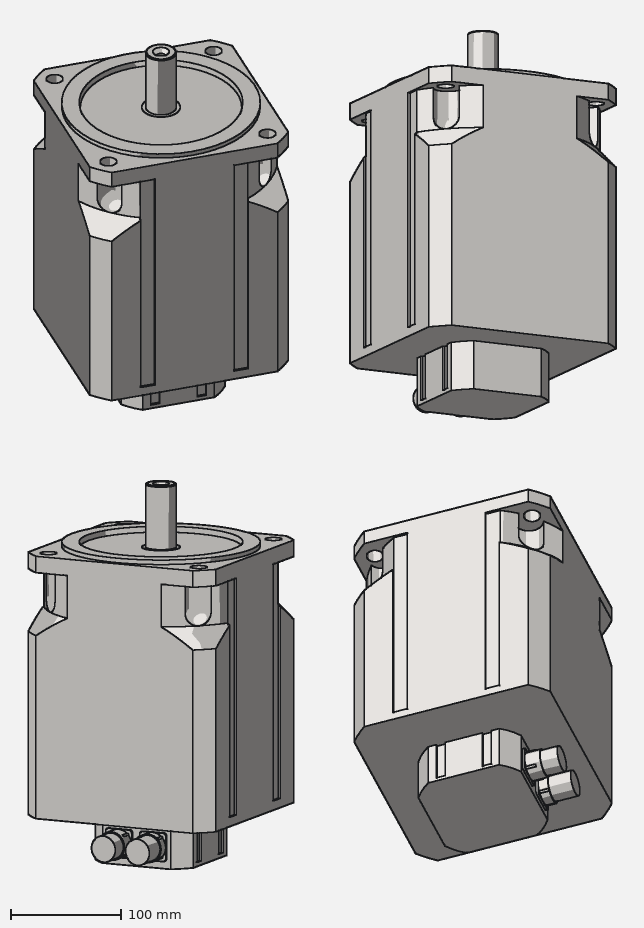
import cadquery as cq
import math

total_height = 345.0
box_height = 45.0
corner_start = 214.0
pocket_floor = 232.5
flange_underside = 272.0
flange_top = 287.0
pilot_top = 291.2

housing_width = 190.0
housing_corner_radius = 124.0
pilot_diameter = 180.0

recess_diameter = 148.5
recess_floor_diameter = 146.3
recess_depth = 5.2

mounting_hole_diameter = 15.2
mounting_hole_spacing = 152.0
pocket_wall_radius = 106.3
nose_opening = 24.0
nose_diameter = 27.0

shaft_diameter = 28.0
shaft_chamfer = 1.0
shoulder_diameter = 35.0
shoulder_height = 0.5
center_mouth_diameter = 15.0
center_drill_diameter = 7.5
center_cone_depth = 4.0
center_drill_depth = 10.5
drill_point_angle = 118.0

box_width = 99.5
box_corner_radius = 60.5

groove_depth = 2.0
housing_groove_width = 13.8
housing_groove_spacing = 89.5
housing_groove_bottom = 53.5
box_groove_width = 8.5
box_groove_spacing = 44.5
box_groove_bottom = 3.8

connector_spacing = 34.5
connector_height = 20.0
connector_length = 33.0
barrel_diameter = 24.0
collar_diameter = 26.2
plate_thickness = 2.0
plate_corner_radius = 2.6
short_collar_end = 11.5
long_collar_end = 16.5
screw_diameter = 2.7
screw_spacing = 17.5


def cylinder(diameter, bottom, top):
    return cq.Workplane("XY").workplane(offset=bottom).circle(diameter / 2).extrude(top - bottom)


def turned_square(width, corner_radius, bottom, top):
    """A square bar with its four corners rounded about the Z axis."""
    square = cq.Workplane("XY").workplane(offset=bottom).rect(width, width).extrude(top - bottom)
    return square.intersect(cylinder(2 * corner_radius, bottom, top))


def corner_pocket_cutter():
    """A ring that leaves a round core below the flange, with a conical floor."""
    cutter_radius = housing_width
    floor_slope = (corner_start - pocket_floor) / (housing_corner_radius - pocket_wall_radius)
    cutter_floor = pocket_floor + floor_slope * (cutter_radius - pocket_wall_radius)
    return (
        cq.Workplane("XZ")
        .moveTo(pocket_wall_radius, flange_underside)
        .lineTo(cutter_radius, flange_underside)
        .lineTo(cutter_radius, cutter_floor)
        .lineTo(pocket_wall_radius, pocket_floor)
        .close()
        .revolve(360, (0, 0, 0), (0, 1, 0))
    )


def corner_points(spacing, bottom):
    base = cq.Workplane("XY").workplane(offset=bottom)
    return base.rect(spacing, spacing, forConstruction=True).vertices()


def ball_nose_cutter():
    """Round-ended clearances set into the pocket walls, each breaking out through a narrower opening."""
    radius = nose_diameter / 2
    inset = math.sqrt(radius**2 - (nose_opening / 2) ** 2)
    spacing = math.sqrt(2) * (pocket_wall_radius - inset)
    ball_center = pocket_floor + nose_opening / 2
    points = corner_points(spacing, ball_center)
    shanks = points.circle(radius).extrude(flange_underside - ball_center)
    return shanks.union(points.sphere(radius))


def mounting_hole_cutter():
    points = corner_points(mounting_hole_spacing, flange_underside)
    return points.circle(mounting_hole_diameter / 2).extrude(flange_top - flange_underside)


def recess_cutter():
    return (
        cq.Workplane("XY")
        .workplane(offset=pilot_top - recess_depth)
        .circle(recess_floor_diameter / 2)
        .workplane(offset=recess_depth)
        .circle(recess_diameter / 2)
        .loft()
    )


def groove_cutter(body_width, spacing, width, bottom, top):
    """Two vertical grooves in each of the -X and +X faces."""
    return (
        cq.Workplane("XY")
        .workplane(offset=bottom)
        .rect(body_width, spacing, forConstruction=True)
        .vertices()
        .rect(2 * groove_depth, width)
        .extrude(top - bottom)
    )


def make_housing():
    block = turned_square(housing_width, housing_corner_radius, box_height, flange_top)
    return (
        block.union(cylinder(pilot_diameter, flange_top, pilot_top))
        .cut(corner_pocket_cutter())
        .cut(ball_nose_cutter())
        .cut(mounting_hole_cutter())
        .cut(recess_cutter())
        .cut(
            groove_cutter(
                housing_width,
                housing_groove_spacing,
                housing_groove_width,
                housing_groove_bottom,
                flange_underside,
            )
        )
    )


def center_hole_cutter():
    """Center hole in the shaft end: countersink, drilled bore and drill point."""
    drill_radius = center_drill_diameter / 2
    point_depth = drill_radius / math.tan(math.radians(drill_point_angle / 2))
    drill_bottom = total_height - center_drill_depth
    return (
        cq.Workplane("XZ")
        .moveTo(0, total_height)
        .lineTo(center_mouth_diameter / 2, total_height)
        .lineTo(drill_radius, total_height - center_cone_depth)
        .lineTo(drill_radius, drill_bottom)
        .lineTo(0, drill_bottom - point_depth)
        .close()
        .revolve(360, (0, 0, 0), (0, 1, 0))
    )


def make_shaft():
    """The shaft end with the low shoulder it stands on."""
    recess_floor = pilot_top - recess_depth
    shaft = cylinder(shaft_diameter, recess_floor, total_height).faces(">Z").chamfer(shaft_chamfer)
    shoulder = cylinder(shoulder_diameter, recess_floor, recess_floor + shoulder_height)
    return shaft.union(shoulder).cut(center_hole_cutter())


def make_rear_box():
    box = turned_square(box_width, box_corner_radius, 0, box_height)
    return box.cut(
        groove_cutter(box_width, box_groove_spacing, box_groove_width, box_groove_bottom, box_height)
    )


def make_motor():
    return make_housing().union(make_shaft()).union(make_rear_box())


def make_connector(x, collar_end):
    """A round plug on a square plate, pointing to +Y, with four screws along its collar."""
    base = cq.Workplane("XZ", origin=(x, box_width / 2, connector_height))
    plate = (
        base.rect(collar_diameter, collar_diameter)
        .extrude(-plate_thickness)
        .edges("|Y")
        .fillet(plate_corner_radius)
    )
    collar = base.circle(collar_diameter / 2).extrude(-collar_end)
    barrel = base.circle(barrel_diameter / 2).extrude(-connector_length)
    screws = (
        base.rect(screw_spacing, screw_spacing, forConstruction=True)
        .vertices()
        .circle(screw_diameter / 2)
        .extrude(-short_collar_end)
    )
    return plate.union(collar).union(barrel).union(screws)


motor = make_motor()
connectors = [
    make_connector(-connector_spacing / 2, short_collar_end),
    make_connector(connector_spacing / 2, long_collar_end),
]

result = cq.Compound.makeCompound([motor.val(), *[connector.val() for connector in connectors]])